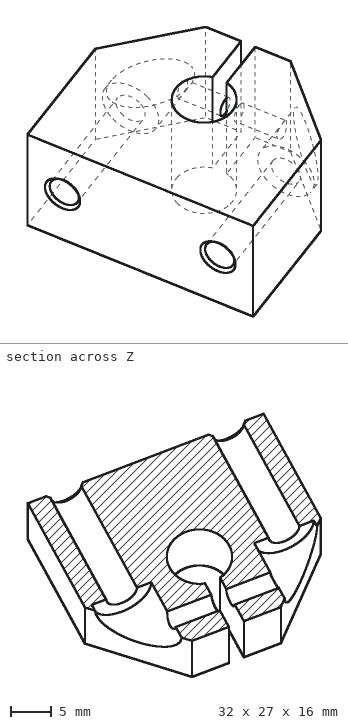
import cadquery as cq

width = 32.0
depth = 27.0
height = 16.0
corner_cut = 10.0

bore_diameter = 8.0
bore_y = 16.0
slit_width = 2.0

mount_diameter = 4.13
mount_rim_diameter = 5.0
mount_chamfer = (mount_rim_diameter - mount_diameter) / 2
mount_offset = corner_cut / 2
head_diameter = 8.0

screw_diameter = 2.45
screw_from_back = 4.0

middle_x = width / 2
middle_z = height / 2

head_floor_y = depth - corner_cut


def y_cylinder(x, diameter, start_y, end_y):
    """Cylinder at mid height, running along +Y."""
    return cq.Workplane(
        cq.Solid.makeCylinder(
            diameter / 2, end_y - start_y, cq.Vector(x, start_y, middle_z), cq.Vector(0, 1, 0)
        )
    )


def make_block():
    """Block with both back corners cut at 45 degrees."""
    return (
        cq.Workplane("XY")
        .box(width, depth, height, centered=False)
        .edges("|Z and >Y")
        .chamfer(corner_cut)
    )


def make_bore_and_slit():
    """Vertical through bore joined to the back face by the slit."""
    bore = cq.Workplane("XY").center(middle_x, bore_y).circle(bore_diameter / 2).extrude(height)
    slit_length = depth - bore_y
    slit = (
        cq.Workplane("XY")
        .center(middle_x, bore_y + slit_length / 2)
        .rect(slit_width, slit_length)
        .extrude(height)
    )
    return bore.union(slit)


def make_mount_hole(x):
    """Through hole with a chamfered front rim and a head pocket at the cut corner."""
    hole = y_cylinder(x, mount_diameter, 0, depth)
    pocket = y_cylinder(x, head_diameter, head_floor_y, depth)
    rim = cq.Workplane(
        cq.Solid.makeCone(
            mount_rim_diameter / 2,
            mount_diameter / 2,
            mount_chamfer,
            cq.Vector(x, 0, middle_z),
            cq.Vector(0, 1, 0),
        )
    )
    return hole.union(pocket).union(rim)


def make_screw_hole():
    """Through hole along X, from one head pocket across the slit to the other."""
    return (
        cq.Workplane("YZ")
        .center(depth - screw_from_back, middle_z)
        .circle(screw_diameter / 2)
        .extrude(width)
    )


result = make_block().cut(make_bore_and_slit()).cut(make_screw_hole())
for mount_x in (mount_offset, width - mount_offset):
    result = result.cut(make_mount_hole(mount_x))